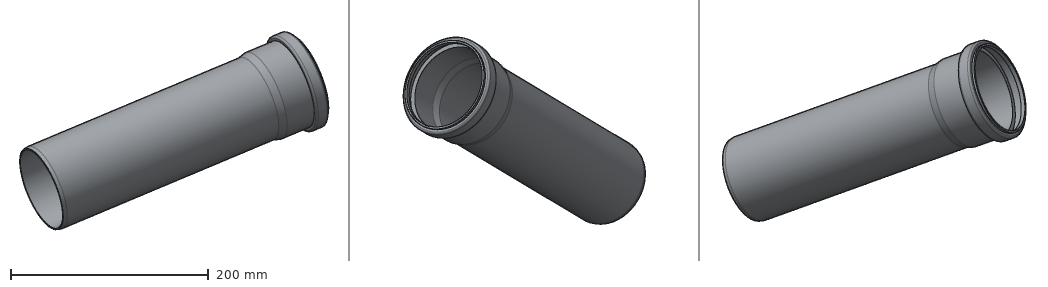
import cadquery as cq

length = 308.0
pipe_diameter = 90.2
bore_diameter = 85.3
spigot_end_diameter = 88.5
spigot_chamfer_length = 4.0

socket_diameter = 95.0
socket_bore_diameter = 90.5
socket_depth = 48.7
taper_length = 8.3

collar_diameter = 104.5
groove_diameter = 100.5
collar_start = 2.5
collar_width = 14.5
collar_rounding = 2.2
collar_wall = (collar_diameter - groove_diameter) / 2

mouth_y = length / 2
spigot_y = -length / 2
taper_start_y = mouth_y - socket_depth
taper_end_y = taper_start_y - taper_length
collar_front_y = mouth_y - collar_start
collar_back_y = collar_front_y - collar_width


def cylinder(diameter, start_y, end_y):
    """Solid cylinder on the Y axis between two positions."""
    return (
        cq.Workplane("XZ", origin=(0, end_y, 0))
        .circle(diameter / 2)
        .extrude(end_y - start_y)
    )


def outer_body():
    """Pipe, chamfered spigot, taper and socket as one turned shape."""
    return (
        cq.Workplane("XY")
        .moveTo(0, spigot_y)
        .lineTo(spigot_end_diameter / 2, spigot_y)
        .lineTo(pipe_diameter / 2, spigot_y + spigot_chamfer_length)
        .lineTo(pipe_diameter / 2, taper_end_y)
        .lineTo(socket_diameter / 2, taper_start_y)
        .lineTo(socket_diameter / 2, mouth_y)
        .lineTo(0, mouth_y)
        .close()
        .revolve(360, (0, 0, 0), (0, 1, 0))
    )


def inner_bore():
    """Pipe bore widening through the taper into the socket bore."""
    return (
        cq.Workplane("XY")
        .moveTo(0, spigot_y)
        .lineTo(bore_diameter / 2, spigot_y)
        .lineTo(bore_diameter / 2, taper_end_y)
        .lineTo(socket_bore_diameter / 2, taper_start_y)
        .lineTo(socket_bore_diameter / 2, mouth_y)
        .lineTo(0, mouth_y)
        .close()
        .revolve(360, (0, 0, 0), (0, 1, 0))
    )


collar = cylinder(collar_diameter, collar_back_y, collar_front_y).edges().fillet(collar_rounding)
seal_groove = cylinder(
    groove_diameter, collar_back_y + collar_wall, collar_front_y - collar_wall
)

result = outer_body().union(collar).cut(inner_bore()).cut(seal_groove)